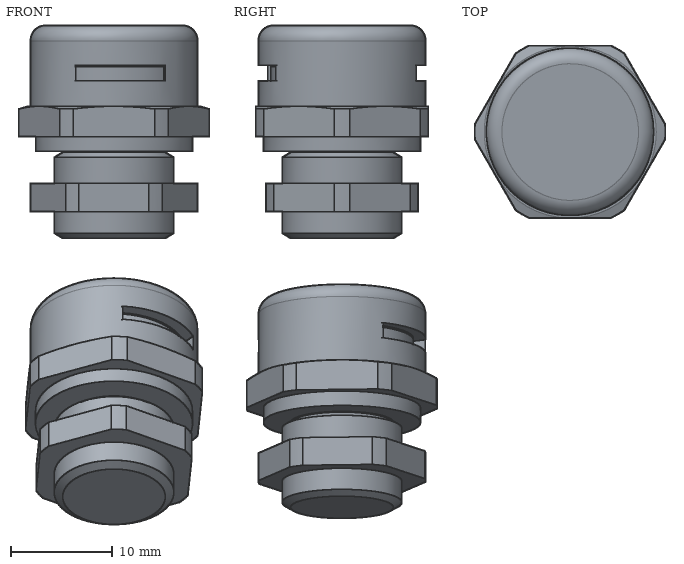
import cadquery as cq
import math

total_height = 21.0
nut_bottom = 2.62
nut_height = 2.8
neck_start = 8.48
flange_bottom = 8.57
hex_bottom = 10.02
hex_top = 13.02
hex_rim_drop = 0.27
slot_bottom = 15.52
slot_top = 17.05

stem_radius = 5.9
stem_chamfer_height = 0.5
stem_chamfer_depth = 0.85
neck_radius = stem_radius - stem_chamfer_depth
flange_radius = 7.75
hex_across_flats = 17.0
hex_corner_radius = 9.4
hex_rim_radius = 8.48
spigot_radius = 7.04
spigot_chamfer_start = slot_top - 0.15
spigot_chamfer = 0.63

nut_across_flats = 15.0
nut_corner_radius = 8.25

cap_radius = 8.25
cap_fillet = 1.51
slot_width = 8.86
slot_angle = 5.2


def cylinder(radius, bottom, top):
    return cq.Workplane("XY").workplane(offset=bottom).circle(radius).extrude(top - bottom)


def revolve_profile(points):
    """Revolve a closed outline of (radius, height) points about Z."""
    return cq.Workplane("XZ").polyline(points).close().revolve(360, (0, 0, 0), (0, 1, 0))


def rounded_hexagon(across_flats, corner_radius, bottom, height):
    """Hexagonal prism with corners on +X and -X, trimmed by a coaxial cylinder."""
    across_corners = across_flats / math.cos(math.radians(30))
    prism = cq.Workplane("XY").workplane(offset=bottom).polygon(6, across_corners).extrude(height)
    return prism.intersect(cylinder(corner_radius, bottom, bottom + height))


def make_stem():
    """Stem chamfered at both ends, with the narrow neck below the flange."""
    return revolve_profile([
        (0, 0),
        (stem_radius - stem_chamfer_depth, 0),
        (stem_radius, stem_chamfer_height),
        (stem_radius, neck_start - stem_chamfer_height),
        (neck_radius, neck_start),
        (neck_radius, flange_bottom),
        (0, flange_bottom),
    ])


def make_body_hexagon():
    """Hexagon whose upper corners are trimmed by a shallow cone."""
    hexagon = rounded_hexagon(hex_across_flats, hex_corner_radius, hex_bottom, hex_top - hex_bottom)
    envelope = revolve_profile([
        (0, hex_bottom),
        (hex_corner_radius, hex_bottom),
        (hex_corner_radius, hex_top - hex_rim_drop),
        (hex_rim_radius, hex_top),
        (0, hex_top),
    ])
    return hexagon.intersect(envelope)


def make_spigot():
    """Chamfered plug on top of the hexagon that fills the cap."""
    spigot_top = spigot_chamfer_start + spigot_chamfer
    return cylinder(spigot_radius, hex_top, spigot_top).faces(">Z").chamfer(spigot_chamfer)


def make_body():
    flange = cylinder(flange_radius, flange_bottom, hex_bottom)
    return make_stem().union(flange).union(make_body_hexagon()).union(make_spigot())


def make_locknut():
    nut = rounded_hexagon(nut_across_flats, nut_corner_radius, nut_bottom, nut_height)
    return nut.cut(cylinder(stem_radius, nut_bottom, nut_bottom + nut_height))


def make_cap():
    """Domed cap with two opposite slots that open onto the spigot."""
    cap = cylinder(cap_radius, hex_top, total_height).faces(">Z").edges().fillet(cap_fillet)
    slot_height = slot_top - slot_bottom
    slots = (
        cq.Workplane("XY")
        .workplane(offset=slot_bottom)
        .rect(slot_width, 2 * cap_radius)
        .extrude(slot_height)
        .cut(cylinder(spigot_radius, slot_bottom, slot_top))
        .rotate((0, 0, 0), (0, 0, 1), slot_angle)
    )
    return cap.cut(make_spigot()).cut(slots)


body = make_body()
locknut = make_locknut()
cap = make_cap()

result = cq.Compound.makeCompound([part.solids().val() for part in (body, locknut, cap)])